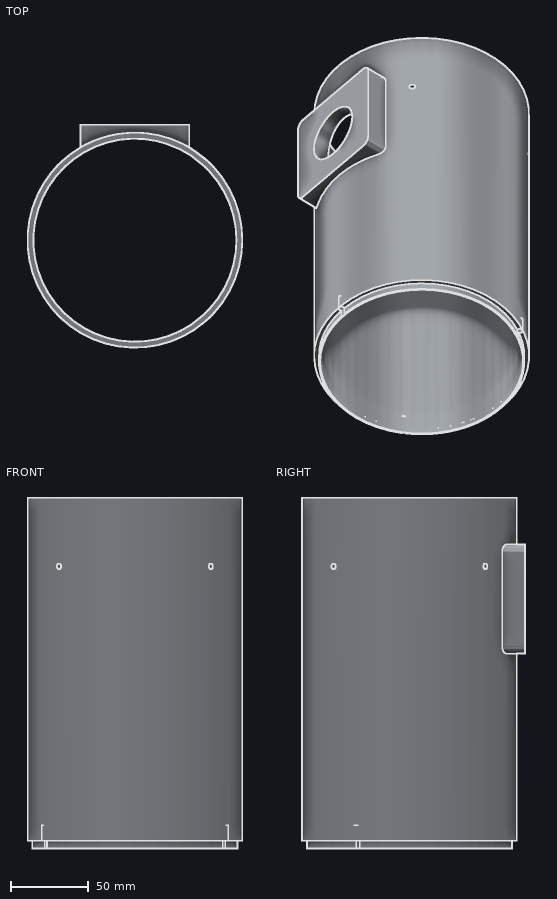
import cadquery as cq
import math

height = 225.0
outer_radius = 138.0 / 2
bore_radius = 130.0 / 2

spigot_radius = 131.8 / 2
spigot_height = 5.0

pad_size = 70.0
pad_face_y = 143.0 - outer_radius
pad_center_z = 160.0
pad_corner_radius = 5.0
port_diameter = 38.0

screw_hole_diameter = 3.5
screw_hole_z = 181.0
screw_hole_angles = (45, 135, 225, 315)

pin_hole_diameter = 3.5
pin_hole_depth = 15.0
pin_circle_radius = (bore_radius + outer_radius) / 2
pin_hole_angles = (90, 210, 330)


def make_body():
    """Stepped cylinder with the filleted pad, before boring."""
    spigot = cq.Workplane("XY").circle(spigot_radius).extrude(spigot_height)
    barrel = (
        cq.Workplane("XY", origin=(0, 0, spigot_height))
        .circle(outer_radius)
        .extrude(height - spigot_height)
    )
    pad = (
        cq.Workplane("XY")
        .box(pad_size, pad_face_y, pad_size, centered=(True, False, True))
        .edges("|Y")
        .fillet(pad_corner_radius)
        .translate((0, 0, pad_center_z))
    )
    return barrel.union(spigot).union(pad)


def make_port():
    """Round port from the bore out through the pad."""
    plane = cq.Plane(origin=(0, 0, pad_center_z), xDir=(1, 0, 0), normal=(0, 1, 0))
    return cq.Workplane(plane).circle(port_diameter / 2).extrude(pad_face_y)


def make_screw_hole(angle):
    """Radial hole through one side of the tube wall."""
    direction = cq.Vector(math.cos(math.radians(angle)), math.sin(math.radians(angle)), 0)
    start = cq.Vector(0, 0, screw_hole_z)
    return cq.Solid.makeCylinder(screw_hole_diameter / 2, outer_radius, start, direction)


def make_pin_hole(angle):
    """Blind axial hole rising from the lower end."""
    center = (
        pin_circle_radius * math.cos(math.radians(angle)),
        pin_circle_radius * math.sin(math.radians(angle)),
    )
    return cq.Workplane("XY").center(*center).circle(pin_hole_diameter / 2).extrude(pin_hole_depth)


bore = cq.Workplane("XY").circle(bore_radius).extrude(height)
result = make_body().cut(bore).cut(make_port())

for screw_angle in screw_hole_angles:
    result = result.cut(make_screw_hole(screw_angle))

for pin_angle in pin_hole_angles:
    result = result.cut(make_pin_hole(pin_angle))